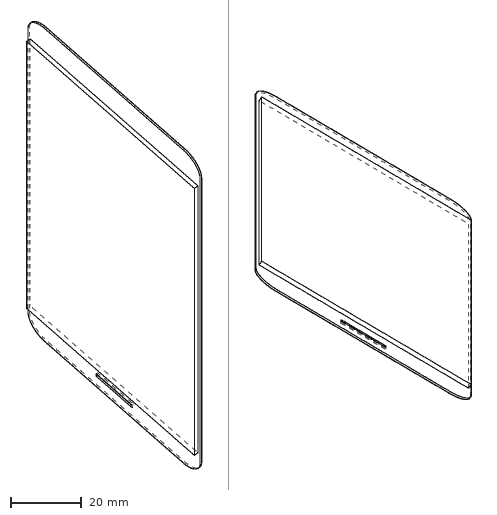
import cadquery as cq

plate_width = 72.0
plate_height = 149.6
plate_thickness = 0.6
corner_radius = 7.0

panel_width = 70.0
panel_height = 127.6
total_thickness = 2.0
panel_thickness = total_thickness - plate_thickness

slot_length = 15.0
slot_height = 1.0
slot_center_z = -69.3


def upright_block(width, thickness, height, front_y):
    """Block centred on X and Z that extends toward +Y from front_y."""
    return cq.Workplane("XY").box(width, thickness, height, centered=(True, False, True)).translate((0, front_y, 0))


plate = upright_block(plate_width, plate_thickness, plate_height, 0).edges("|Y").fillet(corner_radius)

slot = upright_block(slot_length, plate_thickness, slot_height, 0).translate((0, 0, slot_center_z))

panel = upright_block(panel_width, panel_thickness, panel_height, -panel_thickness)

result = plate.cut(slot).union(panel)